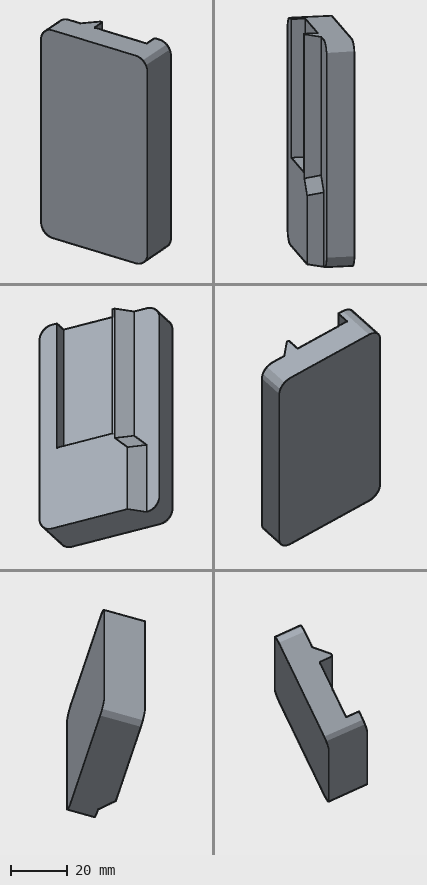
import cadquery as cq
import math

width = 45.0
height = 82.0
corner_radius = 5.0
plate_thickness = 10.0
raised_thickness = 5.0

step = 5.0
lower_left = corner_radius
upper_left = lower_left + step
step_top = 32.0
step_bottom = step_top - step
bevel = raised_thickness

pocket_left = 16.0
pocket_right = 38.05
pocket_bottom = step_top


def rounded_block(thickness):
    """Upright block with four rounded corners, starting at the front face."""
    block = cq.Workplane("XY").box(width, thickness, height, centered=False)
    return block.edges("|Y").fillet(corner_radius)


def raised_outline(inset):
    """XZ outline of the raised back with its stepped left edge moved inward."""
    corner_drop = inset * math.tan(math.radians(22.5))
    return [
        (lower_left + inset, 0),
        (width, 0),
        (width, height),
        (upper_left + inset, height),
        (upper_left + inset, step_top - corner_drop),
        (lower_left + inset, step_bottom - corner_drop),
    ]


def make_raised_back():
    """Layer behind the plate, rounded on the right and bevelled along the left."""
    back = (
        cq.Workplane("XZ", origin=(0, plate_thickness, 0))
        .polyline(raised_outline(0))
        .close()
        .workplane(offset=-raised_thickness)
        .polyline(raised_outline(bevel))
        .close()
        .loft(ruled=True)
    )
    return back.intersect(rounded_block(plate_thickness + raised_thickness))


def make_pocket():
    """Rectangular pocket reaching down to the back of the plate."""
    return cq.Workplane("XY").box(
        pocket_right - pocket_left,
        raised_thickness,
        height - pocket_bottom,
        centered=False,
    ).translate((pocket_left, plate_thickness, pocket_bottom))


result = rounded_block(plate_thickness).union(make_raised_back()).cut(make_pocket())